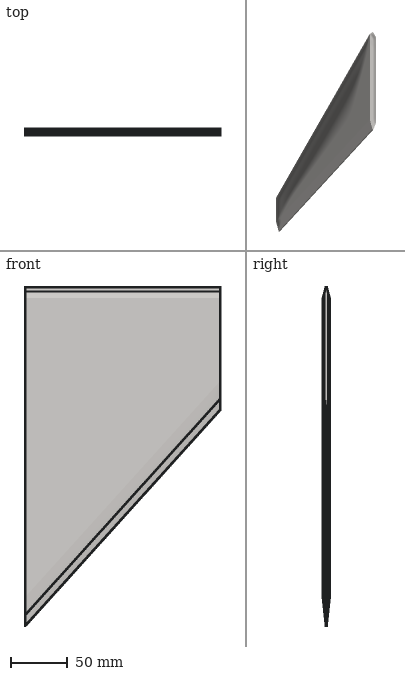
import cadquery as cq
import math

width = 171.5
height = 297.5
short_height = 107.7
thickness = 6.2
core_thickness = 3.0
edge_thickness = 1.0
top_bevel = 9.8
slant_bevel = 25.0

half_thickness = thickness / 2
half_core = core_thickness / 2
half_edge = edge_thickness / 2
slant_rise = height - short_height
slant_angle = math.degrees(math.atan2(slant_rise, width))
slant_bevel_normal = slant_bevel * math.cos(math.radians(slant_angle))


def top_wedge():
    """Double bevel that narrows the panel to a thin edge along the top."""
    return (
        cq.Workplane("YZ")
        .moveTo(half_edge, height)
        .lineTo(-half_edge, height)
        .lineTo(-half_thickness, height - top_bevel)
        .lineTo(-half_thickness, -height)
        .lineTo(half_thickness, -height)
        .lineTo(half_thickness, height - top_bevel)
        .close()
        .extrude(width)
    )


def slant_wedge():
    """Double bevel that narrows the panel to a thin edge along the slanted side."""
    reach = 2 * height
    wedge = (
        cq.Workplane("YZ", origin=(-reach, 0, 0))
        .moveTo(-half_edge, 0)
        .lineTo(half_edge, 0)
        .lineTo(half_thickness, slant_bevel_normal)
        .lineTo(half_thickness, reach)
        .lineTo(-half_thickness, reach)
        .lineTo(-half_thickness, slant_bevel_normal)
        .close()
        .extrude(2 * reach)
    )
    return wedge.rotate((0, 0, 0), (0, 1, 0), -slant_angle)


def layer(y_start, y_end):
    """One layer of the panel between two Y positions, with its share of the bevels."""
    slab = (
        cq.Workplane("XZ", origin=(0, y_end, 0))
        .lineTo(width, slant_rise)
        .lineTo(width, height)
        .lineTo(0, height)
        .close()
        .extrude(y_end - y_start)
    )
    return slab.intersect(top_wedge()).intersect(slant_wedge())


def make_core():
    """Middle layer, which carries both thin edges."""
    return layer(-half_core, half_core)


def make_skin(side):
    """Outer layer on the -Y (side = -1) or +Y (side = 1) face of the core."""
    inner = side * half_core
    outer = side * half_thickness
    return layer(min(inner, outer), max(inner, outer))


core = make_core()
skins = [make_skin(side).val() for side in (-1, 1)]

layers = [core.val(), *skins]
result = cq.Compound.makeCompound([solid for body in layers for solid in body.Solids()])